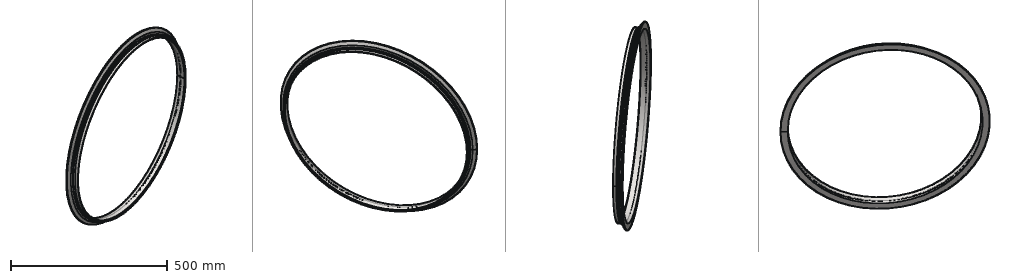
import cadquery as cq

outer_radius = 336.5
ring_width = 32.0
bore_radius = 310.5

rim_radius = 335.0
rim_bevel_width = 2.0
rim_width = 4.0
lip_back_x = 11.5
lip_back_radius = 324.5

groove_radius = 314.5
barb_x = 15.0
barb_width = 2.0
barb_radius = 318.5
band_x = 21.5
band_radius = 316.0

mouth_radius = 313.0
mouth_bevel_width = 3.0
taper_start_radius = 312.5
taper_end_x = 12.0
rear_bevel = 3.0

split_width = 0.1


def ring_body():
    """Turn the (X, radius) section about the X axis."""
    section = [
        (0, mouth_radius),
        (0, rim_radius),
        (rim_bevel_width, outer_radius),
        (rim_width, rim_radius),
        (lip_back_x, lip_back_radius),
        (lip_back_x, groove_radius),
        (barb_x, groove_radius),
        (barb_x, barb_radius),
        (barb_x + barb_width, barb_radius),
        (band_x, band_radius),
        (ring_width, band_radius),
        (ring_width, bore_radius + rear_bevel),
        (ring_width - rear_bevel, bore_radius),
        (taper_end_x, bore_radius),
        (mouth_bevel_width, taper_start_radius),
    ]
    return cq.Workplane("XY").polyline(section).close().revolve(360, (0, 0, 0), (1, 0, 0))


def split_cutter():
    """Thin slab lying on the Z = 0 plane, reaching from the axis past the +Y rim."""
    slab_reach = 2 * outer_radius
    return cq.Workplane("XY").box(ring_width, slab_reach, split_width, centered=(False, False, True))


result = ring_body().cut(split_cutter())